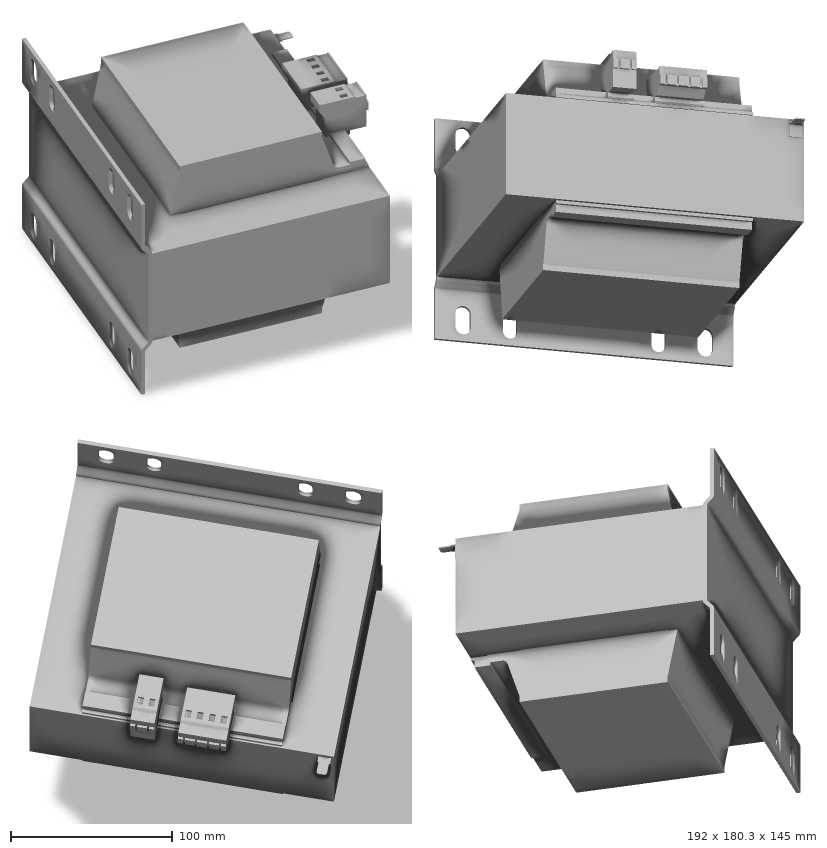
import cadquery as cq
import math


CORE_WIDTH = 192.0
CORE_HEIGHT = 66.6
CORE_BACK_Y = 167.2
CORE_LEG = CORE_WIDTH / 6
core_top = CORE_HEIGHT / 2

PLATE_THICKNESS = 2.5
PLATE_HEIGHT = 145.0
FOOT_OFFSET = 4.6
FOOT_BEND_Z = 38.4
BEND_ANGLE = 45.0
OUTER_BEND_RADIUS = 2.9
INNER_BEND_RADIUS = 1.3
core_front_y = FOOT_OFFSET + PLATE_THICKNESS
bend_shift = PLATE_THICKNESS * math.tan(math.radians(BEND_ANGLE / 2))

window_front_y = core_front_y + CORE_LEG
window_back_y = CORE_BACK_Y - CORE_LEG

SLOT_PAIRS = [(78.0, 9.8), (47.8, 9.0)]
SLOT_LENGTH = 18.5
SLOT_Z = 58.8

BOBBIN_WIDTH = 126.3
WINDING_TOP = 69.3
WINDING_RIM = 3.8
WINDING_FRONT_Y = 39.5
WINDING_FRONT_FOOT_Y = 33.2
WINDING_BACK_FOOT_Y = 143.8
WINDING_FOOT_RADIUS = 3.6
SHELF_Z = 38.8
RAIL_FRONT_Y = 154.2
RAIL_BACK_Y = 164.4
RAIL_TOP = 40.9
LIP_BACK_Y = 166.5
LIP_TOP = 36.0
GAP_FRONT_Y = 156.0
GAP_HEIGHT = 0.5

TERMINAL_WIDTH = 15.2
LOW_TERMINAL_LEFT_X = [-30.1, -15.0]
HIGH_TERMINAL_LEFT_X = [15.2]
LOW_TERMINAL_TOP = 56.6
HIGH_TERMINAL_RISE = 7.7
TERMINAL_FRONT_Y = 147.5
TERMINAL_STEM_FRONT_Y = 151.3
TERMINAL_BACK_Y = 178.8
TERMINAL_NOSE_Y = 180.3
TERMINAL_FOOT_BACK_Y = 167.8
TERMINAL_BASE_Z = 39.5
GROOVE_Y = (170.1, 171.8, 177.6)
GROOVE_DEPTH = 1.0
BACK_EDGE_DROP = 0.4
FRONT_FACE_HEIGHT = 6.0
STEM_DROP = 11.3
NOSE_TOP_DROP = 6.1
NOSE_BOTTOM_DROP = 12.5
CHAMFER_TOP_Y = 176.8
CHAMFER_FOOT_Y = 170.9
FOOT_CHAMFER = 1.2

POCKET_SPACING = 7.5
POCKET_WIDTH = 3.6
POCKET_LENGTH = 5.0
POCKET_DEPTH = 2.0
POCKET_Y = 165.1
NOTCH_WIDTH = 1.3

TAB_X = -90.2
TAB_THICKNESS = 0.8
TAB_Z = 30.3
TAB_BASE_WIDTH = 8.0
TAB_BASE_END_Y = 171.3
TAB_WIDTH = 6.5
TAB_END_Y = 179.0
TAB_CORNER = 1.0
TAB_PLATE_HEIGHT = 8.8


def extrude_along_x(points, x_start, x_end):
    """Prism along X from an outline of (Y, Z) points."""
    outline = cq.Workplane("YZ", origin=(x_start, 0, 0)).polyline(points).close()
    return outline.extrude(x_end - x_start)


def block(x_range, y_range, z_range):
    """Axis-aligned block between three pairs of limits."""
    size = [high - low for low, high in (x_range, y_range, z_range)]
    corner = (x_range[0], y_range[0], z_range[0])
    return cq.Workplane("XY", origin=corner).box(*size, centered=False)


def make_core():
    """Core block with a narrow open gap between each outer leg and the bobbin."""
    half_width = CORE_WIDTH / 2
    core_z = (-core_top, core_top)
    core = block((-half_width, half_width), (core_front_y, CORE_BACK_Y), core_z)
    window_edge_x = half_width - CORE_LEG
    gap_width = window_edge_x - BOBBIN_WIDTH / 2
    gap_centre_x = window_edge_x - gap_width / 2
    for x in (-gap_centre_x, gap_centre_x):
        x_range = (x - gap_width / 2, x + gap_width / 2)
        core = core.cut(block(x_range, (window_front_y, window_back_y), core_z))
    return core


def make_mounting_plate():
    inner_bend_z = FOOT_BEND_Z - FOOT_OFFSET / math.tan(math.radians(BEND_ANGLE))
    front = [
        (0, PLATE_HEIGHT / 2),
        (0, FOOT_BEND_Z),
        (FOOT_OFFSET, inner_bend_z),
    ]
    back = [
        (core_front_y, inner_bend_z + bend_shift),
        (PLATE_THICKNESS, FOOT_BEND_Z + bend_shift),
        (PLATE_THICKNESS, PLATE_HEIGHT / 2),
    ]
    lower_front = [(y, -z) for y, z in reversed(front)]
    lower_back = [(y, -z) for y, z in reversed(back)]
    outline = front + lower_front + lower_back + back
    plate = extrude_along_x(outline, -CORE_WIDTH / 2, CORE_WIDTH / 2)

    bends = [
        (front[1], OUTER_BEND_RADIUS),
        (front[2], INNER_BEND_RADIUS),
        (back[0], OUTER_BEND_RADIUS),
        (back[1], INNER_BEND_RADIUS),
    ]
    for (y, z), radius in bends:
        for side in (-1, 1):
            edge = cq.selectors.NearestToPointSelector((0, y, side * z))
            plate = plate.edges(edge).fillet(radius)

    for distance, width in SLOT_PAIRS:
        centres = [(x, z) for x in (-distance, distance) for z in (-SLOT_Z, SLOT_Z)]
        slots = cq.Workplane("XZ").pushPoints(centres).slot2D(SLOT_LENGTH, width, 90)
        plate = plate.cut(slots.extrude(-PLATE_THICKNESS))
    return plate


def make_winding():
    """Upper half of the winding with its bobbin rail."""
    rim_z = WINDING_TOP - WINDING_RIM
    outline = [
        (WINDING_FRONT_FOOT_Y, 0),
        (WINDING_FRONT_FOOT_Y, core_top),
        (WINDING_FRONT_Y, rim_z),
        (WINDING_FRONT_Y, WINDING_TOP),
        (window_back_y, WINDING_TOP),
        (window_back_y, rim_z),
        (WINDING_BACK_FOOT_Y, SHELF_Z),
        (RAIL_FRONT_Y, SHELF_Z),
        (RAIL_FRONT_Y, RAIL_TOP),
        (RAIL_BACK_Y, RAIL_TOP),
        (RAIL_BACK_Y, LIP_TOP),
        (LIP_BACK_Y, LIP_TOP),
        (LIP_BACK_Y, core_top + GAP_HEIGHT),
        (GAP_FRONT_Y, core_top + GAP_HEIGHT),
        (GAP_FRONT_Y, 0),
    ]
    bobbin = extrude_along_x(outline, -BOBBIN_WIDTH / 2, BOBBIN_WIDTH / 2)
    foot_edge = cq.selectors.NearestToPointSelector((0, WINDING_BACK_FOOT_Y, SHELF_Z))
    return bobbin.edges(foot_edge).fillet(WINDING_FOOT_RADIUS)


def make_terminal(left_x, top_z, has_chamfer):
    """One two-pole terminal; low ones have a chamfer under the nose, high ones a square base."""
    ramp_start, ramp_end, groove_back = GROOVE_Y
    back_edge_z = top_z - BACK_EDGE_DROP
    groove_z = top_z - GROOVE_DEPTH
    nose_top = top_z - NOSE_TOP_DROP
    nose_bottom = top_z - NOSE_BOTTOM_DROP
    if has_chamfer:
        underside = [(CHAMFER_TOP_Y, nose_bottom), (CHAMFER_FOOT_Y, TERMINAL_BASE_Z)]
    else:
        underside = [(TERMINAL_BACK_Y, nose_bottom), (TERMINAL_BACK_Y, TERMINAL_BASE_Z)]
    outline = [
        (TERMINAL_STEM_FRONT_Y, SHELF_Z),
        (TERMINAL_STEM_FRONT_Y, top_z - STEM_DROP),
        (TERMINAL_FRONT_Y, top_z - FRONT_FACE_HEIGHT),
        (TERMINAL_FRONT_Y, top_z),
        (ramp_start, top_z),
        (ramp_end, groove_z),
        (groove_back, groove_z),
        (groove_back, back_edge_z),
        (TERMINAL_BACK_Y, back_edge_z),
        (TERMINAL_BACK_Y, nose_top),
        (TERMINAL_NOSE_Y, nose_top),
        (TERMINAL_NOSE_Y, nose_bottom),
        *underside,
        (TERMINAL_FOOT_BACK_Y, TERMINAL_BASE_Z),
        (TERMINAL_FOOT_BACK_Y, LIP_TOP + FOOT_CHAMFER),
        (TERMINAL_FOOT_BACK_Y - FOOT_CHAMFER, LIP_TOP),
        (RAIL_BACK_Y, LIP_TOP),
        (RAIL_BACK_Y, SHELF_Z),
    ]
    terminal = extrude_along_x(outline, left_x, left_x + TERMINAL_WIDTH)

    for side in (-1, 1):
        pole_x = left_x + TERMINAL_WIDTH / 2 + side * POCKET_SPACING / 2
        pocket = block(
            (pole_x - POCKET_WIDTH / 2, pole_x + POCKET_WIDTH / 2),
            (POCKET_Y - POCKET_LENGTH / 2, POCKET_Y + POCKET_LENGTH / 2),
            (top_z - POCKET_DEPTH, top_z),
        )
        notch = block(
            (pole_x - NOTCH_WIDTH / 2, pole_x + NOTCH_WIDTH / 2),
            (TERMINAL_BACK_Y, TERMINAL_NOSE_Y),
            (nose_bottom, nose_top),
        )
        terminal = terminal.cut(pocket).cut(notch)
    return terminal


def make_earth_tab():
    half_base = TAB_BASE_WIDTH / 2
    half_tab = TAB_WIDTH / 2
    right_side = [
        (half_base, CORE_BACK_Y),
        (half_base, TAB_BASE_END_Y),
        (half_tab, TAB_BASE_END_Y),
        (half_tab, TAB_END_Y - TAB_CORNER),
        (half_tab - TAB_CORNER, TAB_END_Y),
    ]
    left_side = [(-x, y) for x, y in reversed(right_side)]
    blade_plane = cq.Workplane("XY", origin=(TAB_X, 0, TAB_Z - TAB_THICKNESS))
    blade = blade_plane.polyline(right_side + left_side).close().extrude(TAB_THICKNESS)
    back_plate = block(
        (TAB_X - half_base, TAB_X + half_base),
        (CORE_BACK_Y, CORE_BACK_Y + TAB_THICKNESS),
        (TAB_Z - TAB_PLATE_HEIGHT, TAB_Z),
    )
    return blade.union(back_plate)


upper_winding = make_winding()
result = make_core().union(make_mounting_plate())
result = result.union(upper_winding).union(upper_winding.mirror("XY"))
for terminal_x in LOW_TERMINAL_LEFT_X:
    result = result.union(make_terminal(terminal_x, LOW_TERMINAL_TOP, True))
for terminal_x in HIGH_TERMINAL_LEFT_X:
    high_top = LOW_TERMINAL_TOP + HIGH_TERMINAL_RISE
    result = result.union(make_terminal(terminal_x, high_top, False))
result = result.union(make_earth_tab())